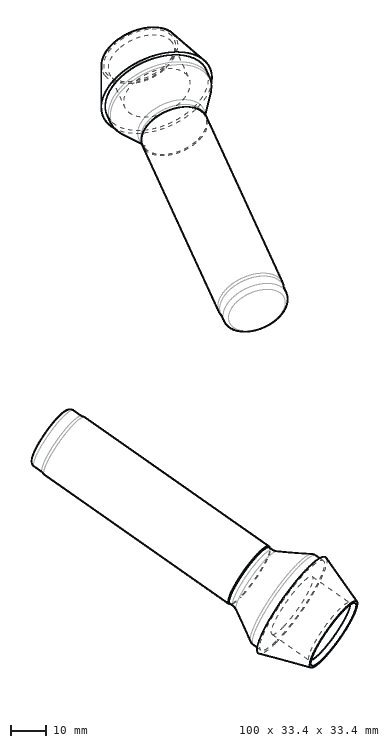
import cadquery as cq
import math

total_length = 100.0
head_length = 14.7

head_front_radius = 11.5
head_rear_radius = 16.7
mouth_radius = 10.8

nose_start = 1.5
collar_radius = 31.0 / 2
neck_radius = 19.5 / 2
shank_radius = 20.0 / 2
nose_radius = shank_radius
cone_angle = 30.0
collar_corner_x = 17.8
collar_fillet = 1.8
neck_fillet = 3.0
shank_start = 29.6
shank_end = 95.0
tip_start = 95.9
tip_fillet = 1.2

shank_step = shank_radius - neck_radius
neck_corner_x = collar_corner_x + (collar_radius - neck_radius) / math.tan(math.radians(cone_angle))


def revolve_about_x(profile):
    """Turn a closed half profile in the XY plane (Y is the radius) about the X axis."""
    return profile.close().revolve(360, (0, 0, 0), (1, 0, 0))


def circle_edge_at(x, radius):
    """Select the circular edge around the X axis at a given station and radius."""
    margin = 0.05
    reach = radius + margin
    return cq.selectors.BoxSelector(
        (x - margin, -reach, -reach), (x + margin, reach, reach), boundingbox=True
    )


def make_head():
    """Conical sleeve with a flared mouth, bored through to fit the stud nose."""
    return revolve_about_x(
        cq.Workplane("XY")
        .moveTo(0, mouth_radius)
        .lineTo(0, head_front_radius)
        .lineTo(head_length, head_rear_radius)
        .lineTo(head_length, nose_radius)
        .lineTo(nose_start, nose_radius)
    )


def make_stud():
    """Turned stud whose nose fills the head bore and whose collar seats on the head."""
    stud = revolve_about_x(
        cq.Workplane("XY")
        .moveTo(nose_start, 0)
        .lineTo(nose_start, nose_radius)
        .lineTo(head_length, nose_radius)
        .lineTo(head_length, collar_radius)
        .lineTo(collar_corner_x, collar_radius)
        .lineTo(neck_corner_x, neck_radius)
        .lineTo(shank_start, neck_radius)
        .lineTo(shank_start + shank_step, shank_radius)
        .lineTo(shank_end, shank_radius)
        .lineTo(tip_start, neck_radius)
        .lineTo(total_length, neck_radius)
        .lineTo(total_length, 0)
    )
    stud = stud.edges(circle_edge_at(collar_corner_x, collar_radius)).fillet(collar_fillet)
    stud = stud.edges(circle_edge_at(neck_corner_x, neck_radius)).fillet(neck_fillet)
    return stud.faces(">X").edges().fillet(tip_fillet)


head = make_head()
stud = make_stud()

result = cq.Compound.makeCompound([head.val(), stud.val()])